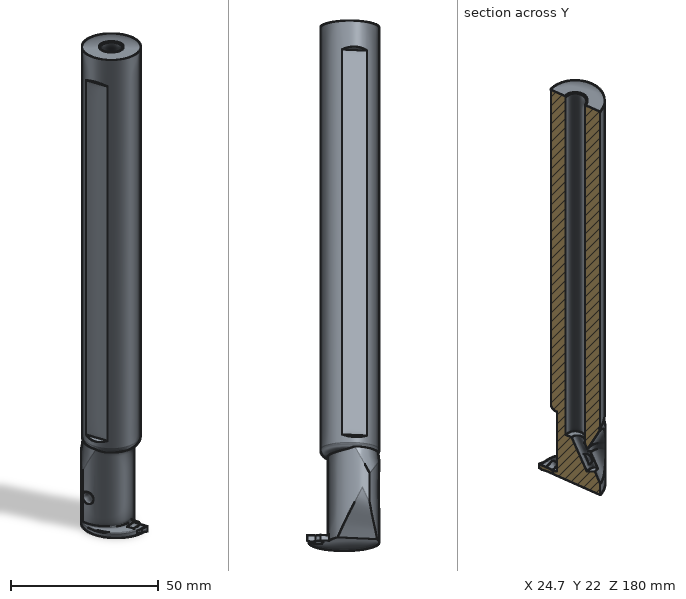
import cadquery as cq
import math

OVERALL_X = 24.7
TOP_Z = 180.0
BAR_BOTTOM_Z = 0.4
SHANK_BOTTOM_Z = 30.2

SHANK_DIAMETER = 20.0
SHANK_RADIUS = SHANK_DIAMETER / 2
SHANK_END_FILLET = 2.5
FLAT_DEPTH = 0.99
FLAT_TOP_Z = 170.0
FLAT_BOTTOM_Z = 35.6

SWING_DIAMETER = 24.0
SWING_RADIUS = SWING_DIAMETER / 2
SWING_CENTER_X = SWING_RADIUS - SHANK_RADIUS
NECK_RADIUS = SHANK_RADIUS
NECK_CENTER_X = -2.5
CONE_TOP_Z = 32.4
CONE_TOP_RADIUS = 9.5
CONE_TAPER_DEG = 7.8
RELIEF_RADIUS = 39.6
RELIEF_TOP_Z = 17.3
RELIEF_START_Y = SHANK_RADIUS

FLANGE_TOP_Z = 2.3
FLANGE_BACK_Y = 1.0
FLANGE_CORNER_X = 10.3
FLANGE_FILLET = 0.4

BORE_DIAMETER = 7.5
BORE_CHAMFER = 0.4
BORE_BOTTOM_Z = 21.6
COOLANT_DIAMETER = 4.5
OUTLET_X = -3.0
OUTLET_Z = 12.5
OUTLET_INNER_Y = -1.6
PASSAGE_END_X = -6.7
PASSAGE_END_Z = 9.9

POCKET_RADIUS = 5.0
POCKET_WAIST_RADIUS = 4.9
POCKET_TILT_DEG = 23.6
POCKET_Y = -0.7
POCKET_Z = 18.4

INSERT_BACK_X = 9.0
INSERT_NOSE_X = 11.7
INSERT_TIP_X = OVERALL_X - SHANK_RADIUS
INSERT_HEEL_X = 13.0
INSERT_POINT_X = 13.3
INSERT_WIDTH = 4.0
INSERT_CLEARANCE = 0.5


def cylinder(x, y, radius, bottom_z, top_z):
    """Upright cylinder between two levels."""
    return cq.Workplane("XY", origin=(x, y, bottom_z)).circle(radius).extrude(top_z - bottom_z)


def rod(center, direction, radius, length):
    """Cylinder along any direction, centred on a point."""
    start = cq.Vector(*center) - cq.Vector(*direction).normalized() * (length / 2)
    return cq.Workplane(obj=cq.Solid.makeCylinder(radius, length, start, cq.Vector(*direction)))


def make_flat_cut(side):
    """Cutter for one shank flat with 45 degree run-outs; side is -1 or +1 along Y."""
    inner_y = side * (SHANK_RADIUS - FLAT_DEPTH)
    outer_y = side * (SHANK_RADIUS + FLAT_DEPTH)
    run_out = 2 * FLAT_DEPTH
    return (
        cq.Workplane("YZ")
        .polyline([
            (inner_y, FLAT_BOTTOM_Z),
            (inner_y, FLAT_TOP_Z),
            (outer_y, FLAT_TOP_Z + run_out),
            (outer_y, FLAT_BOTTOM_Z - run_out),
        ])
        .close()
        .extrude(SHANK_RADIUS, both=True)
    )


def make_shank():
    """Round shank with a rounded lower edge and two opposite flats."""
    shank = cylinder(0, 0, SHANK_RADIUS, SHANK_BOTTOM_Z, TOP_Z)
    shank = shank.faces("<Z").edges().fillet(SHANK_END_FILLET)
    for side in (-1, 1):
        shank = shank.cut(make_flat_cut(side))
    return shank


def make_relief():
    """Cutter for the curved relief at the foot of the +Y side."""
    drop = RELIEF_RADIUS - math.sqrt(RELIEF_RADIUS**2 - RELIEF_TOP_Z**2)
    half_z = RELIEF_TOP_Z / 2
    half_drop = RELIEF_RADIUS - math.sqrt(RELIEF_RADIUS**2 - half_z**2)
    outer_y = RELIEF_START_Y + SWING_RADIUS
    return (
        cq.Workplane("YZ")
        .moveTo(RELIEF_START_Y, RELIEF_TOP_Z)
        .threePointArc((RELIEF_START_Y - half_drop, half_z), (RELIEF_START_Y - drop, 0))
        .lineTo(outer_y, 0)
        .lineTo(outer_y, RELIEF_TOP_Z)
        .close()
        .extrude(SWING_DIAMETER, both=True)
    )


def make_head():
    """Eccentric head, tapered up into the shank and relieved on the +Y side."""
    height = CONE_TOP_Z - BAR_BOTTOM_Z
    foot_radius = CONE_TOP_RADIUS + height * math.tan(math.radians(CONE_TAPER_DEG))
    taper = cq.Workplane(obj=cq.Solid.makeCone(
        foot_radius, CONE_TOP_RADIUS, height, cq.Vector(0, 0, BAR_BOTTOM_Z)
    ))
    swing = cylinder(SWING_CENTER_X, 0, SWING_RADIUS, BAR_BOTTOM_Z, CONE_TOP_Z)
    neck = cylinder(NECK_CENTER_X, 0, NECK_RADIUS, BAR_BOTTOM_Z, CONE_TOP_Z)
    return swing.intersect(neck).intersect(taper).cut(make_relief())


def make_flange():
    """Thin flange that carries the insert, ending behind the cutting edge."""
    disc = cylinder(SWING_CENTER_X, 0, SWING_RADIUS, BAR_BOTTOM_Z, FLANGE_TOP_Z)
    reach = SWING_DIAMETER
    front = (
        cq.Workplane("XY")
        .polyline([
            (0, FLANGE_BACK_Y),
            (FLANGE_CORNER_X, FLANGE_BACK_Y),
            (INSERT_NOSE_X, 0),
            (reach, 0),
            (reach, -reach),
            (0, -reach),
        ])
        .close()
        .extrude(FLANGE_TOP_Z)
    )
    left = cq.Workplane("XY").box(reach, reach, FLANGE_TOP_Z, centered=False)
    left = left.translate((-reach, -reach, 0))
    return disc.intersect(front.union(left))


def make_coolant_cut():
    """Cutter for the bore, the slanted passage and the outlet on the -Y side."""
    bore = cylinder(0, 0, BORE_DIAMETER / 2, BORE_BOTTOM_Z, TOP_Z)
    mouth = cq.Workplane(obj=cq.Solid.makeCone(
        BORE_DIAMETER / 2, BORE_DIAMETER / 2 + BORE_CHAMFER, BORE_CHAMFER,
        cq.Vector(0, 0, TOP_Z - BORE_CHAMFER),
    ))
    start = cq.Vector(0, 0, BORE_BOTTOM_Z + COOLANT_DIAMETER / 2)
    run = cq.Vector(PASSAGE_END_X, 0, PASSAGE_END_Z) - start
    passage = cq.Workplane(obj=cq.Solid.makeCylinder(COOLANT_DIAMETER / 2, run.Length, start, run))
    outlet = (
        cq.Workplane("XZ", origin=(OUTLET_X, OUTLET_INNER_Y, OUTLET_Z))
        .circle(COOLANT_DIAMETER / 2)
        .extrude(SWING_RADIUS)
    )
    return bore.union(mouth).union(passage).union(outlet)


def make_pocket_cut():
    """Cutter for the oval pocket: two crossing tilted rods, trimmed by an upright one."""
    center = (-SHANK_RADIUS, POCKET_Y, POCKET_Z)
    lean = math.tan(math.radians(POCKET_TILT_DEG))
    length = 10 * POCKET_RADIUS
    upright = rod(center, (0, 0, 1), POCKET_WAIST_RADIUS, length)
    rising = rod(center, (lean, 0, 1), POCKET_RADIUS, length)
    falling = rod(center, (-lean, 0, 1), POCKET_RADIUS, length)
    return rising.intersect(falling).intersect(upright)


def make_insert():
    """Cutting insert let into the flange: a plate and a nose that narrows behind its cutting face."""
    plate = cq.Workplane("XY", origin=(INSERT_BACK_X, -INSERT_WIDTH, BAR_BOTTOM_Z)).box(
        INSERT_NOSE_X - INSERT_BACK_X, INSERT_WIDTH, FLANGE_TOP_Z - BAR_BOTTOM_Z, centered=False
    )
    heel_bottom_z = BAR_BOTTOM_Z + INSERT_CLEARANCE
    heel_top_z = FLANGE_TOP_Z - INSERT_CLEARANCE
    nose = (
        cq.Workplane("XZ")
        .polyline([
            (INSERT_NOSE_X, BAR_BOTTOM_Z),
            (INSERT_POINT_X, 0),
            (INSERT_TIP_X, BAR_BOTTOM_Z),
            (INSERT_TIP_X, FLANGE_TOP_Z),
            (INSERT_NOSE_X, FLANGE_TOP_Z),
        ])
        .close()
        .workplane(offset=INSERT_WIDTH)
        .polyline([
            (INSERT_NOSE_X, heel_bottom_z),
            ((INSERT_NOSE_X + INSERT_HEEL_X) / 2, heel_bottom_z - INSERT_CLEARANCE / 2),
            (INSERT_HEEL_X, heel_bottom_z),
            (INSERT_HEEL_X, heel_top_z),
            (INSERT_NOSE_X, heel_top_z),
        ])
        .close()
        .loft(ruled=True)
    )
    return plate.union(nose)


def round_flange_root(bar):
    """Small fillet where the neck wall meets the flange."""
    root_zone = cq.selectors.BoxSelector(
        (-SHANK_RADIUS / 2, -SHANK_RADIUS, FLANGE_TOP_Z - FLANGE_FILLET / 2),
        (NECK_CENTER_X + NECK_RADIUS, 0, FLANGE_TOP_Z + FLANGE_FILLET / 2),
    )
    return bar.edges(root_zone).fillet(FLANGE_FILLET)


insert = make_insert()
bar = round_flange_root(make_shank().union(make_head()).union(make_flange()))
bar = bar.cut(make_coolant_cut()).cut(make_pocket_cut()).cut(insert)

result = cq.Compound.makeCompound([bar.val(), insert.val()])